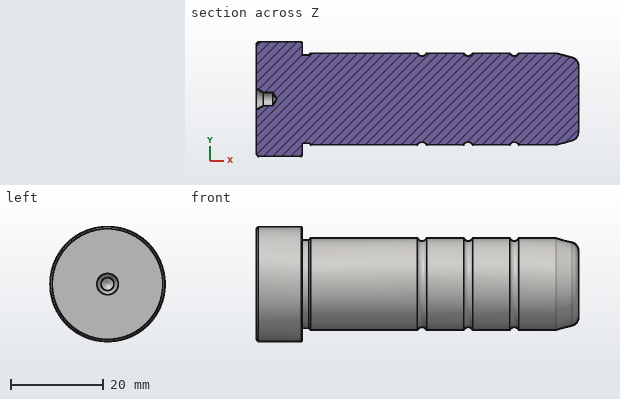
import cadquery as cq
import math

total_length = 70.0
head_radius = 25.0 / 2
head_length = 10.0
head_front_chamfer = 0.5
head_back_chamfer = 0.3
body_radius = 10.0

undercut_depth = 0.4
undercut_end = 11.4
body_start = 11.8

groove_centers = (36.0, 46.0, 56.0)
groove_width = 1.95
groove_depth = 0.6

taper_start = 65.0
taper_angle = math.radians(15)
nose_radius = 2.0

countersink_radius = 2.3
pilot_radius = 1.4
countersink_angle = math.radians(60)
pilot_length = 2.0
drill_tip_angle = math.radians(120)


def make_pin():
    """Revolve the stepped outline of the head, body and nose about X."""
    undercut_radius = body_radius - undercut_depth
    nose_center_x = total_length - nose_radius
    taper_end = nose_center_x + nose_radius * math.sin(taper_angle)
    taper_end_radius = body_radius - (taper_end - taper_start) * math.tan(taper_angle)
    nose_center_radius = taper_end_radius - nose_radius * math.cos(taper_angle)

    mid_angle = (math.pi / 2 - taper_angle) / 2
    nose_middle = (
        nose_center_x + nose_radius * math.cos(mid_angle),
        nose_center_radius + nose_radius * math.sin(mid_angle),
    )

    outline = (
        cq.Workplane("XY")
        .lineTo(0, head_radius - head_front_chamfer)
        .lineTo(head_front_chamfer, head_radius)
        .lineTo(head_length - head_back_chamfer, head_radius)
        .lineTo(head_length, head_radius - head_back_chamfer)
        .lineTo(head_length, undercut_radius)
        .lineTo(undercut_end, undercut_radius)
        .lineTo(body_start, body_radius)
        .lineTo(taper_start, body_radius)
        .lineTo(taper_end, taper_end_radius)
        .threePointArc(nose_middle, (total_length, nose_center_radius))
        .lineTo(total_length, 0)
        .close()
    )
    return outline.revolve(360, (0, 0, 0), (1, 0, 0))


def make_groove(center_x):
    """Ring whose section is a circle cutting the body surface to the groove width and depth."""
    section_radius = ((groove_width / 2) ** 2 + groove_depth**2) / (2 * groove_depth)
    section_center = body_radius - groove_depth + section_radius
    return (
        cq.Workplane("XY")
        .center(center_x, section_center)
        .circle(section_radius)
        .revolve(360, (0, -section_center, 0), (1, -section_center, 0))
    )


def make_center_hole():
    """Countersink, short pilot bore and conical drill tip, revolved about X."""
    pilot_start = (countersink_radius - pilot_radius) / math.tan(countersink_angle / 2)
    pilot_end = pilot_start + pilot_length
    tip = pilot_end + pilot_radius / math.tan(drill_tip_angle / 2)
    return (
        cq.Workplane("XY")
        .lineTo(0, countersink_radius)
        .lineTo(pilot_start, pilot_radius)
        .lineTo(pilot_end, pilot_radius)
        .lineTo(tip, 0)
        .close()
        .revolve(360, (0, 0, 0), (1, 0, 0))
    )


result = make_pin()
for groove_center in groove_centers:
    result = result.cut(make_groove(groove_center))
result = result.cut(make_center_hole())